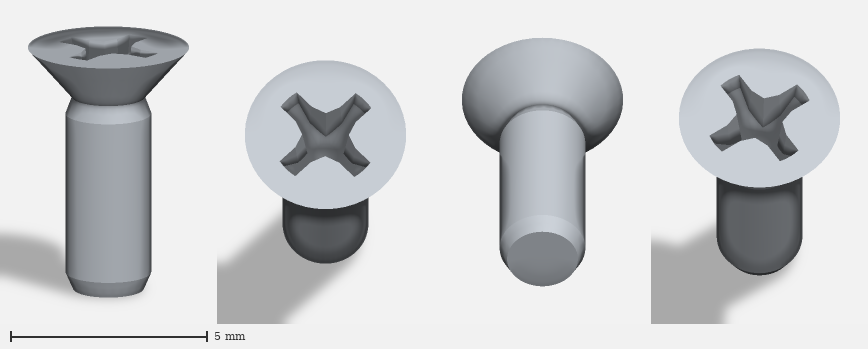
import cadquery as cq
import math

length = 6.35
head_radius = 4.11 / 2
head_height = 1.295
neck_radius = 0.93
shank_radius = 2.185 / 2
taper_height = 0.44
tip_radius = 0.9

recess_radius = 1.38
wing_half_width = 0.285
wing_root = 0.795
inner_corner = 0.42
wall_draft = 5.5
wing_end_depth = 0.445
wing_floor_radius = 1.26
recess_depth = wing_end_depth + wing_floor_radius


def revolve_profile(points):
    """Revolve a closed (radius, height) outline about the Z axis."""
    return cq.Workplane("XZ").polyline(points).close().revolve(360, (0, 0), (0, 1))


def make_body():
    neck_z = length - head_height
    return revolve_profile([
        (0, 0),
        (tip_radius, 0),
        (shank_radius, taper_height),
        (shank_radius, neck_z - taper_height),
        (neck_radius, neck_z),
        (head_radius, length),
        (0, length),
    ])


def cross_outline(inset):
    """Corners of the cross with every wing side moved inwards by the inset."""
    flare = math.atan2(inner_corner - wing_half_width, wing_root - inner_corner)
    half_width = wing_half_width - inset
    root = wing_root - inset * math.tan(flare / 2)
    corner = inner_corner - inset / (math.sin(flare) + math.cos(flare))
    reach = recess_radius + wing_half_width
    outline = []
    x_dir, y_dir = 1, 0
    for _ in range(4):
        for along, across in [
            (reach, -half_width),
            (reach, half_width),
            (root, half_width),
            (corner, corner),
            (half_width, root),
        ]:
            outline.append((along * x_dir - across * y_dir, along * y_dir + across * x_dir))
        x_dir, y_dir = -y_dir, x_dir
    return outline


def make_recess():
    """Drafted cross, limited by a round envelope with a conical floor."""
    bottom_inset = recess_depth * math.tan(math.radians(wall_draft))
    cross = (
        cq.Workplane("XY", origin=(0, 0, length))
        .polyline(cross_outline(0))
        .close()
        .workplane(offset=-recess_depth)
        .polyline(cross_outline(bottom_inset))
        .close()
        .loft(ruled=True)
    )
    envelope = revolve_profile([
        (0, length),
        (recess_radius, length),
        (wing_floor_radius, length - wing_end_depth),
        (0, length - recess_depth),
    ])
    return cross.intersect(envelope)


result = make_body().cut(make_recess())